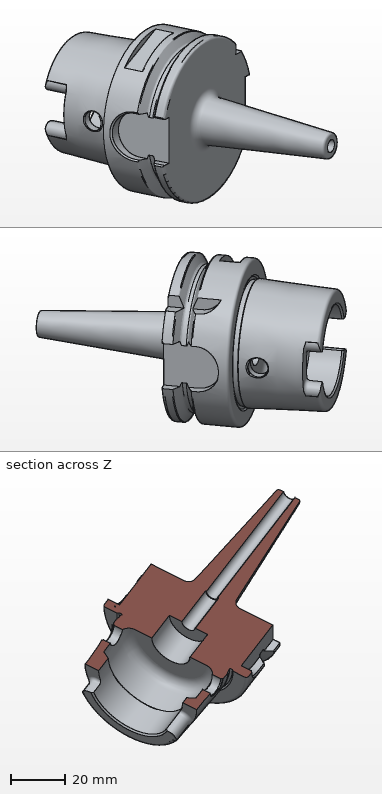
import cadquery as cq
import math


total_length = 112.0
taper_end = 30.2
flange_start = 32.0
flange_end = 58.0

shank_front_radius = 22.7
shank_end_radius = 48.3 / 2
shank_edge_fillet = 1.3
neck_radius = 23.9
neck_chamfer = shank_end_radius - neck_radius
relief_start = 31.2
relief_undercut = 0.3
relief_floor_radius = 24.6
relief_rim_radius = 25.3
relief_depth = 0.6

flange_radius = 63.0 / 2
flange_fillet = 1.1
groove_center = 50.2
groove_half_width = 3.6
groove_bottom_radius = 27.5
groove_wall_angle = 30.0
groove_bottom_fillet = 1.0
groove_edge_fillet = 0.5

nose_root_radius = 9.3
nose_tip_radius = 10.0 / 2
nose_root_fillet = 3.0
nose_tip_fillet = 1.0

entry_radius = 34.0 / 2
entry_chamfer = 0.7
clamp_start = 12.9
clamp_radius = 40.0 / 2
clamp_angle = 60.0
bore_depth = 29.1
bore_floor_fillet = 4.4
tube_radius = 16.5 / 2
tube_depth = 41.4
feed_radius = 5.6 / 2
coolant_radius = 4.8 / 2

shank_slot_half_width = 6.3
shank_slot_depth_front = 10.0
shank_slot_depth_back = 6.0
shank_slot_floor_fillet = 1.3
shank_slot_edge_rounding = 3.0
shank_slot_reach = 26.9

cross_hole_x = 23.0
cross_hole_radius = 7.5 / 2
cross_hole_rim_radius = 8.7 / 2

drive_slot_center = 44.9
drive_slot_half_width = 9.0
drive_slot_floor = 26.5
drive_slot_chamfer = 0.7
cutter_overrun = 2.2

notch_y = 20.0
notch_z = 19.7
notch_end_radius = 8.0

label_start = 35.6
label_length = 7.7
label_distance = 29.2
label_tilt = 22.0


def turned(points, roundings):
    """Revolve an XY profile about X, rounding each listed (position, radius, fillet) corner.

    The seam is left on the -Z side, clear of all cuts.
    """
    profile = cq.Face.makeFromWires(cq.Wire.makePolygon([cq.Vector(*p) for p in points], close=True))
    for x, y, fillet in roundings:
        corner = min(profile.Vertices(), key=lambda v: math.hypot(v.X - x, v.Y - y))
        profile = profile.fillet2D(fillet, [corner])
    axis_end = cq.Vector(1, 0, 0)
    solid = cq.Solid.revolve(profile, 360, cq.Vector(), axis_end)
    return cq.Workplane(solid.rotate(cq.Vector(), axis_end, -90))


def cylinder_along_x(radius, start, end):
    return cq.Workplane("YZ", origin=(start, 0, 0)).circle(radius).extrude(end - start)


def outer_body():
    wall_run = (flange_radius - groove_bottom_radius) * math.tan(math.radians(groove_wall_angle))
    bottom_half_width = groove_half_width - wall_run
    groove_bottom = [groove_center - bottom_half_width, groove_center + bottom_half_width]
    groove_top = [groove_center - groove_half_width, groove_center + groove_half_width]
    relief_end = flange_start + relief_depth
    points = [
        (0, 0),
        (0, shank_front_radius),
        (taper_end, shank_end_radius),
        (taper_end + neck_chamfer, neck_radius),
        (relief_start, neck_radius),
        (relief_end, neck_radius - relief_undercut),
        (relief_end, relief_floor_radius),
        (flange_start, relief_rim_radius),
        (flange_start, flange_radius),
        (groove_top[0], flange_radius),
        (groove_bottom[0], groove_bottom_radius),
        (groove_bottom[1], groove_bottom_radius),
        (groove_top[1], flange_radius),
        (flange_end, flange_radius),
        (flange_end, nose_root_radius),
        (total_length, nose_tip_radius),
        (total_length, 0),
    ]
    roundings = [
        (0, shank_front_radius, shank_edge_fillet),
        (flange_start, flange_radius, flange_fillet),
        (flange_end, flange_radius, flange_fillet),
        (flange_end, nose_root_radius, nose_root_fillet),
        (total_length, nose_tip_radius, nose_tip_fillet),
    ]
    roundings += [(x, groove_bottom_radius, groove_bottom_fillet) for x in groove_bottom]
    roundings += [(x, flange_radius, groove_edge_fillet) for x in groove_top]
    return turned(points, roundings)


def bore():
    clamp_run = (clamp_radius - entry_radius) / math.tan(math.radians(clamp_angle))
    points = [
        (0, 0),
        (0, entry_radius + entry_chamfer),
        (entry_chamfer, entry_radius),
        (clamp_start, entry_radius),
        (clamp_start + clamp_run, clamp_radius),
        (bore_depth, clamp_radius),
        (bore_depth, 0),
    ]
    cavity = turned(points, [(bore_depth, clamp_radius, bore_floor_fillet)])
    tube_seat = cylinder_along_x(tube_radius, 0, tube_depth)
    feed = cylinder_along_x(feed_radius, 0, flange_end)
    coolant = cylinder_along_x(coolant_radius, 0, total_length)
    return cavity.union(tube_seat).union(feed).union(coolant)


def shank_slot(side, depth):
    """Slot through one shank wall, its walls flaring out in an arc at the outer surface."""
    center_z = shank_slot_half_width + shank_slot_edge_rounding
    center_y = math.sqrt((shank_front_radius - shank_slot_edge_rounding) ** 2 - center_z**2)
    tangent_angle = math.atan2(center_z, center_y)
    tangent_y = shank_front_radius * math.cos(tangent_angle)
    tangent_z = shank_front_radius * math.sin(tangent_angle)
    mid_angle = (tangent_angle - math.pi / 2) / 2
    mid_y = center_y + shank_slot_edge_rounding * math.cos(mid_angle)
    mid_z = center_z + shank_slot_edge_rounding * math.sin(mid_angle)
    half = (
        cq.Workplane("YZ")
        .lineTo(0, shank_slot_half_width)
        .lineTo(center_y, shank_slot_half_width)
        .threePointArc((mid_y, mid_z), (tangent_y, tangent_z))
        .lineTo(shank_slot_reach, tangent_z)
        .lineTo(shank_slot_reach, 0)
        .close()
        .extrude(depth)
    )
    slot = half.union(half.mirror("XY")).clean()
    slot = slot.faces(">X").edges("not(<Y or >Y or <Z or >Z)").fillet(shank_slot_floor_fillet)
    return slot if side > 0 else slot.mirror("XZ")


def cross_hole():
    """Radial hole through both shank walls, countersunk at the outside."""
    countersink = cross_hole_rim_radius - cross_hole_radius
    axis = cq.Workplane("XZ", origin=(cross_hole_x, 0, 0))
    hole = axis.circle(cross_hole_radius).extrude(flange_radius, both=True)
    shank_radius = shank_front_radius + (shank_end_radius - shank_front_radius) * cross_hole_x / taper_end
    rim = (
        cq.Workplane("XZ", origin=(cross_hole_x, -shank_radius, 0))
        .circle(cross_hole_rim_radius)
        .workplane(offset=-countersink)
        .circle(cross_hole_radius)
        .loft()
    )
    return hole.union(rim).union(rim.mirror("XZ"))


def round_ended_slot():
    """Flat-bottomed slot in the +Y side of the flange, half round at its end and open toward +X."""
    return (
        cq.Workplane("XZ", origin=(0, drive_slot_floor, 0))
        .moveTo(total_length, drive_slot_half_width)
        .lineTo(drive_slot_center, drive_slot_half_width)
        .threePointArc(
            (drive_slot_center - drive_slot_half_width, 0),
            (drive_slot_center, -drive_slot_half_width),
        )
        .lineTo(total_length, -drive_slot_half_width)
        .close()
        .extrude(drive_slot_floor - flange_radius - cutter_overrun)
    )


def slotted_blank():
    """Bar as wide as the flange, with both drive slots and a chamfered rim on the -Y slot."""
    slot = round_ended_slot()
    bar = cylinder_along_x(flange_radius, 0, total_length).rotate((0, 0, 0), (1, 0, 0), 90)
    bar = bar.cut(slot.rotate((0, 0, 0), (1, 0, 0), 180))
    slot_wall_edges = bar.faces("%PLANE").faces("|Z").edges("|X").edges("<Y")
    bar = slot_wall_edges.chamfer(drive_slot_chamfer)
    return bar.cut(slot)


def orientation_notch():
    axis_z = notch_z + notch_end_radius
    far = flange_radius + cutter_overrun
    round_end = (
        cq.Workplane("XZ", origin=(0, notch_y, 0))
        .center(drive_slot_center, axis_z)
        .circle(notch_end_radius)
        .extrude(notch_y - far)
    )
    straight = cq.Workplane("XY").box(
        flange_end + cutter_overrun - drive_slot_center, far - notch_y, 2 * notch_end_radius, centered=False
    ).translate((drive_slot_center, notch_y, notch_z))
    return round_end.union(straight)


def label_recess():
    block = cq.Workplane("XY").box(
        label_length, 2 * flange_radius, flange_radius, centered=(False, True, False)
    )
    return block.translate((label_start, 0, label_distance)).rotate((0, 0, 0), (1, 0, 0), label_tilt)


result = (
    outer_body()
    .intersect(slotted_blank())
    .cut(bore())
    .cut(shank_slot(-1, shank_slot_depth_front))
    .cut(shank_slot(1, shank_slot_depth_back))
    .cut(cross_hole())
    .cut(orientation_notch())
    .cut(label_recess())
)